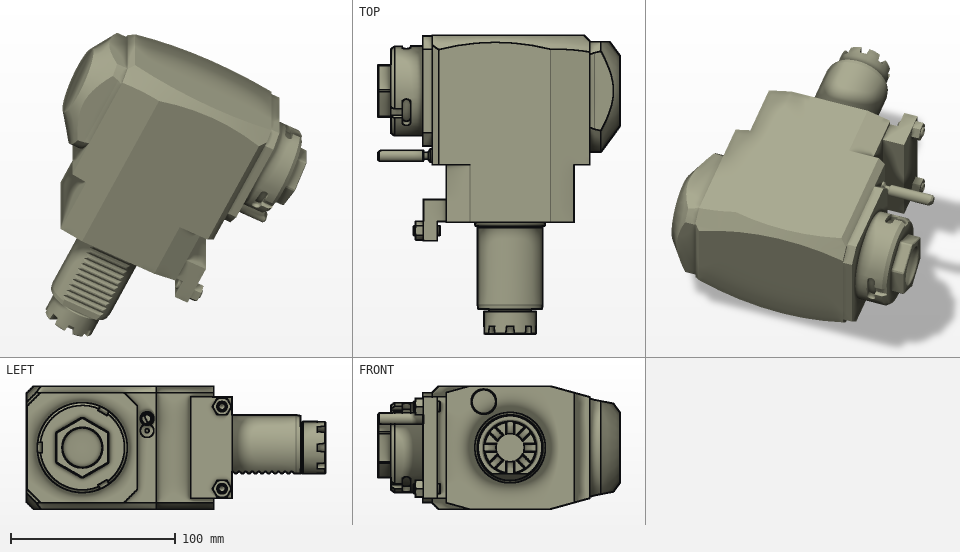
import cadquery as cq
import math


HALF_HEIGHT = 37.5
BACK_Y = 114.0
STEP_Y = 35.0
HEAD_LEFT_X = -47.5
HEAD_RIGHT_X = 48.5
NECK_HALF_WIDTH = 39.0
LEFT_CHAMFER = 4.0
TAPER_START_X = 24.5
TAPER_SLOPE = math.tan(math.radians(15.5))
BACK_CORNER_CHAMFER = 3.5
CROWN_CHAMFER = 4.4
CROWN_RADIUS = 190.0
CROWN_CENTER_X = -9.0
RECESS_X = -16.0
RECESS_Z = 28.0
RECESS_RADIUS = 7.7
RECESS_FLOOR_RADIUS = 7.2
RECESS_DEPTH = 0.5

DRIVE_Y = 80.0
PLATE_SIZE = 67.0
PLATE_CHAMFER = 8.1
PLATE_LEFT_X = -53.2
COLLAR_RADIUS = 27.4
COLLAR_LEFT_X = -72.6
COLLAR_CHAMFER_LENGTH = 2.3
COLLAR_CHAMFER_DEPTH = 1.7
COLLAR_SLOT_COUNT = 3
COLLAR_SLOT_X = -63.1
COLLAR_SLOT_WIDTH = 5.0
COLLAR_SLOT_HALF_ANGLE = 14.5
COLLAR_SLOT_DEPTH = 3.6
COLLAR_NOTCH_WIDTH = 6.3
COLLAR_NOTCH_FLOOR = 24.4
HEX_LEFT_X = -80.5
HEX_ACROSS_FLATS = 32.2
HEX_CORNER_RADIUS = 18.25
HEX_CHAMFER = 0.5
HEX_BORE_RADIUS = 12.0
HEX_BORE_DEPTH = 6.0
HEX_BORE_CHAMFER = 0.4

PIN_Y = 40.6
PIN_Z = 17.7
PIN_RADIUS = 3.4
PIN_LEFT_X = HEX_LEFT_X
PIN_RIGHT_X = -52.4
PIN_CHAMFER = 1.0
PIN_END_CHAMFER = 0.7
PIN_BEVEL_OFFSET = 0.8
PIN_BEVEL_ANGLE = 45.0
PIN_BEVEL_TURN = -25.0
PIN_NECK_RADIUS = 2.2
PIN_FLARE_LEFT_X = -49.8
PIN_FLARE_RADIUS = 4.1
PLUG_Z = 10.3
PLUG_RADIUS = 4.1
PLUG_RECESS = 0.3
PLUG_HOLE_RADIUS = 1.2
PLUG_HOLE_DEPTH = 2.0

CAP_RADIUS = 37.3
CAP_CONE_START_X = 55.3
CAP_RIGHT_X = 67.0
CAP_END_RADIUS = 21.3
CAP_BACK_Y = 110.0
CAP_BEND_X = 51.2
CAP_BASE_HALF_HEIGHT = 30.0
CAP_BEND_HALF_HEIGHT = 29.2
CAP_END_HALF_HEIGHT = 26.1

BRACKET_LEFT_X = -52.7
BRACKET_LEG_RIGHT_X = -44.2
BRACKET_BACK_Y = 14.0
BRACKET_FOOT_FRONT_Y = 0.5
BRACKET_FRONT_Y = -11.2
BRACKET_HALF_HEIGHT = 30.9
SCREW_Y = -5.0
SCREW_Z = 25.0
SCREW_RADIUS = 3.1
SCREW_LEFT_X = -58.8
SCREW_RIGHT_X = -42.4
SCREW_CHAMFER = 0.6
SCREW_SOCKET_RADIUS = 2.0
SCREW_SOCKET_DEPTH = 2.0
NUT_LEFT_X = -57.7
NUT_ACROSS_FLATS = 10.1
NUT_CHAMFER = 0.5

SEAL_RADIUS = 21.5
SEAL_WIDTH = 2.3
SHANK_RADIUS = 20.0
SHANK_END_Y = -52.8
SHANK_CHAMFER_START_Y = -50.0
SHANK_END_RADIUS = 19.4
SHANK_RELIEF_RADIUS = 19.4
SHANK_RELIEF_END_Y = -3.3
RACK_FLAT_Z = -15.8
RACK_START_Y = -8.0
TOOTH_PITCH = 4.0
GAP_DEPTH = 1.4
GAP_HALF_WIDTH = 1.6
FIRST_GAP_Y = -11.4
GAP_COUNT = 10

NECK_RADIUS = 13.0
CLAMP_NUT_RADIUS = 16.0
CLAMP_NUT_START_Y = -53.9
CLAMP_NUT_END_Y = -68.0
CLAMP_NUT_CHAMFER = 0.5
CLAMP_SLOT_COUNT = 8
CLAMP_SLOT_MOUTH_WIDTH = 5.4
CLAMP_SLOT_FLOOR_WIDTH = 4.2
CLAMP_SLOT_DEPTH = 4.9
CLAMP_SLOT_INNER_RADIUS = 8.6

OVERLAP = 1.0


def box_between(x_range, y_range, z_range):
    size = [high - low for low, high in (x_range, y_range, z_range)]
    corner = (x_range[0], y_range[0], z_range[0])
    return cq.Workplane("XY").box(*size, centered=False).translate(corner)


def plane_facing_left(x, y, z):
    """Plane whose normal is -X, local x is +Y and local y is -Z."""
    return cq.Workplane(cq.Plane(origin=(x, y, z), xDir=(0, 1, 0), normal=(-1, 0, 0)))


def cylinder_along_x(left_x, right_x, y, z, radius):
    return plane_facing_left(right_x, y, z).circle(radius).extrude(right_x - left_x)


def prism_along_y(points, front_y, back_y):
    """Extrude an (X, Z) outline between two Y values."""
    return cq.Workplane("XZ", origin=(0, back_y, 0)).polyline(points).close().extrude(back_y - front_y)


def turned_about_x(profile, y, z):
    """Revolve (x, radius) points about the line along X through (y, z)."""
    turned = cq.Workplane("XY").polyline(profile).close().revolve(360, (0, 0, 0), (1, 0, 0))
    return turned.translate((0, y, z))


def taper_height(x):
    return HALF_HEIGHT - (abs(x) - TAPER_START_X) * TAPER_SLOPE


def make_head():
    left_height = HALF_HEIGHT - LEFT_CHAMFER
    right_height = taper_height(HEAD_RIGHT_X)
    outline = [
        (HEAD_LEFT_X, -left_height),
        (HEAD_LEFT_X + LEFT_CHAMFER, -HALF_HEIGHT),
        (TAPER_START_X, -HALF_HEIGHT),
        (HEAD_RIGHT_X, -right_height),
        (HEAD_RIGHT_X, right_height),
        (TAPER_START_X, HALF_HEIGHT),
        (HEAD_LEFT_X + LEFT_CHAMFER, HALF_HEIGHT),
        (HEAD_LEFT_X, left_height),
    ]
    head = prism_along_y(outline, STEP_Y, BACK_Y)
    back_corner = cq.selectors.NearestToPointSelector((HEAD_RIGHT_X, BACK_Y, 0))
    head = head.edges(back_corner).chamfer(BACK_CORNER_CHAMFER)
    for side in (1, -1):
        head = head.intersect(make_crown(side))
    return head


def make_crown(side):
    """Large cylinder whose surface forms the bowed chamfer on the upper (1) or lower (-1) back edge."""
    apex_y = BACK_Y - CROWN_CHAMFER
    center_offset = CROWN_RADIUS * math.sqrt(0.5)
    center = (CROWN_CENTER_X, apex_y - center_offset, side * (HALF_HEIGHT - center_offset))
    plane = cq.Plane(origin=center, xDir=(1, 0, 0), normal=(0, 1, -side))
    return cq.Workplane(plane).circle(CROWN_RADIUS).extrude(CROWN_RADIUS, both=True)


def make_neck():
    side_height = taper_height(NECK_HALF_WIDTH)
    outline = [
        (-NECK_HALF_WIDTH, -side_height),
        (-TAPER_START_X, -HALF_HEIGHT),
        (TAPER_START_X, -HALF_HEIGHT),
        (NECK_HALF_WIDTH, -side_height),
        (NECK_HALF_WIDTH, side_height),
        (TAPER_START_X, HALF_HEIGHT),
        (-TAPER_START_X, HALF_HEIGHT),
        (-NECK_HALF_WIDTH, side_height),
    ]
    neck = prism_along_y(outline, 0, STEP_Y)
    recess_floor = cq.Workplane("XZ", origin=(RECESS_X, RECESS_DEPTH, RECESS_Z)).circle(RECESS_FLOOR_RADIUS)
    recess = recess_floor.workplane(offset=RECESS_DEPTH).circle(RECESS_RADIUS).loft()
    return neck.cut(recess)


def make_plate():
    thickness = HEAD_LEFT_X - PLATE_LEFT_X
    plate = plane_facing_left(HEAD_LEFT_X, DRIVE_Y, 0).rect(PLATE_SIZE, PLATE_SIZE).extrude(thickness)
    return plate.edges("|X").chamfer(PLATE_CHAMFER)


def make_collar_slot():
    """Curved slot with rounded ends on the +Y side of the collar, opened to the left by a notch."""
    floor_radius = COLLAR_RADIUS - COLLAR_SLOT_DEPTH
    reach = COLLAR_RADIUS + OVERLAP
    right_x = COLLAR_SLOT_X + COLLAR_SLOT_WIDTH / 2
    sweep = math.radians(COLLAR_SLOT_HALF_ANGLE)
    wedge_y = 2 * reach * math.cos(sweep)
    wedge_z = 2 * reach * math.sin(sweep)
    wedge = plane_facing_left(right_x, 0, 0).polyline([(0, 0), (wedge_y, -wedge_z), (wedge_y, wedge_z)]).close()
    cutter = wedge.extrude(COLLAR_SLOT_WIDTH)
    for side in (1, -1):
        end = cq.Workplane("XZ", origin=(COLLAR_SLOT_X, 0, 0)).circle(COLLAR_SLOT_WIDTH / 2).extrude(-reach)
        cutter = cutter.union(end.rotate((0, 0, 0), (1, 0, 0), side * COLLAR_SLOT_HALF_ANGLE))
    ring = plane_facing_left(right_x, 0, 0).circle(reach).circle(floor_radius).extrude(COLLAR_SLOT_WIDTH)
    half_notch = COLLAR_NOTCH_WIDTH / 2
    notch = box_between(
        (COLLAR_LEFT_X, COLLAR_SLOT_X),
        (COLLAR_NOTCH_FLOOR, reach),
        (-half_notch, half_notch),
    )
    return cutter.intersect(ring).union(notch)


def make_collar():
    chamfer_x = COLLAR_LEFT_X + COLLAR_CHAMFER_LENGTH
    profile = [
        (COLLAR_LEFT_X, 0),
        (COLLAR_LEFT_X, COLLAR_RADIUS - COLLAR_CHAMFER_DEPTH),
        (chamfer_x, COLLAR_RADIUS),
        (PLATE_LEFT_X, COLLAR_RADIUS),
        (PLATE_LEFT_X, 0),
    ]
    collar = turned_about_x(profile, 0, 0)
    slot = make_collar_slot()
    for index in range(COLLAR_SLOT_COUNT):
        collar = collar.cut(slot.rotate((0, 0, 0), (1, 0, 0), index * 360 / COLLAR_SLOT_COUNT))
    return collar.translate((0, DRIVE_Y, 0))


def make_drive_hex():
    corner_diameter = HEX_ACROSS_FLATS / math.cos(math.pi / 6)
    length = COLLAR_LEFT_X - HEX_LEFT_X
    base = plane_facing_left(COLLAR_LEFT_X, DRIVE_Y, 0)
    hexagon = base.transformed(rotate=(0, 0, 30)).polygon(6, corner_diameter).extrude(length)
    corner_limit = cylinder_along_x(HEX_LEFT_X, COLLAR_LEFT_X, DRIVE_Y, 0, HEX_CORNER_RADIUS)
    hexagon = hexagon.faces("<X").chamfer(HEX_CHAMFER).intersect(corner_limit)
    bore_profile = [
        (HEX_LEFT_X, 0),
        (HEX_LEFT_X, HEX_BORE_RADIUS + HEX_BORE_CHAMFER),
        (HEX_LEFT_X + HEX_BORE_CHAMFER, HEX_BORE_RADIUS),
        (HEX_LEFT_X + HEX_BORE_DEPTH, HEX_BORE_RADIUS),
        (HEX_LEFT_X + HEX_BORE_DEPTH, 0),
    ]
    return hexagon.cut(turned_about_x(bore_profile, DRIVE_Y, 0))


def make_pin():
    profile = [
        (PIN_LEFT_X, 0),
        (PIN_LEFT_X, PIN_RADIUS - PIN_CHAMFER),
        (PIN_LEFT_X + PIN_CHAMFER, PIN_RADIUS),
        (PIN_RIGHT_X - PIN_END_CHAMFER, PIN_RADIUS),
        (PIN_RIGHT_X, PIN_RADIUS - PIN_END_CHAMFER),
        (PIN_RIGHT_X, PIN_NECK_RADIUS),
        (PIN_FLARE_LEFT_X, PIN_NECK_RADIUS),
        (HEAD_LEFT_X - OVERLAP, PIN_FLARE_RADIUS),
        (HEAD_LEFT_X, PIN_FLARE_RADIUS),
        (HEAD_LEFT_X, 0),
    ]
    bevel_height = PIN_RADIUS - PIN_BEVEL_OFFSET
    bevel_length = bevel_height * math.tan(math.radians(PIN_BEVEL_ANGLE))
    bevel_outline = [
        (PIN_LEFT_X, PIN_BEVEL_OFFSET),
        (PIN_LEFT_X + bevel_length, PIN_RADIUS),
        (PIN_LEFT_X, PIN_RADIUS),
    ]
    bevel = cq.Workplane("XY").polyline(bevel_outline).close().extrude(PIN_RADIUS, both=True)
    bevel = bevel.rotate((0, 0, 0), (1, 0, 0), PIN_BEVEL_TURN).translate((0, PIN_Y, PIN_Z))
    return turned_about_x(profile, PIN_Y, PIN_Z).cut(bevel)


def make_plug_recess():
    recess = cylinder_along_x(HEAD_LEFT_X, HEAD_LEFT_X + PLUG_RECESS, PIN_Y, PLUG_Z, PLUG_RADIUS)
    hole = cylinder_along_x(HEAD_LEFT_X, HEAD_LEFT_X + PLUG_HOLE_DEPTH, PIN_Y, PLUG_Z, PLUG_HOLE_RADIUS)
    return recess.union(hole)


def make_cap():
    base_x = HEAD_RIGHT_X - OVERLAP
    profile = [
        (base_x, 0),
        (base_x, CAP_RADIUS),
        (CAP_CONE_START_X, CAP_RADIUS),
        (CAP_RIGHT_X, CAP_END_RADIUS),
        (CAP_RIGHT_X, 0),
    ]
    envelope = [
        (base_x, -CAP_BASE_HALF_HEIGHT),
        (HEAD_RIGHT_X, -CAP_BASE_HALF_HEIGHT),
        (CAP_BEND_X, -CAP_BEND_HALF_HEIGHT),
        (CAP_RIGHT_X, -CAP_END_HALF_HEIGHT),
        (CAP_RIGHT_X, CAP_END_HALF_HEIGHT),
        (CAP_BEND_X, CAP_BEND_HALF_HEIGHT),
        (HEAD_RIGHT_X, CAP_BASE_HALF_HEIGHT),
        (base_x, CAP_BASE_HALF_HEIGHT),
    ]
    return turned_about_x(profile, DRIVE_Y, 0).intersect(prism_along_y(envelope, STEP_Y, CAP_BACK_Y))


def make_bracket():
    z_range = (-BRACKET_HALF_HEIGHT, BRACKET_HALF_HEIGHT)
    foot = box_between((BRACKET_LEFT_X, -NECK_HALF_WIDTH), (BRACKET_FOOT_FRONT_Y, BRACKET_BACK_Y), z_range)
    leg = box_between((BRACKET_LEFT_X, BRACKET_LEG_RIGHT_X), (BRACKET_FRONT_Y, BRACKET_BACK_Y), z_range)
    return foot.union(leg)


def make_screw(z):
    screw = cylinder_along_x(SCREW_LEFT_X, SCREW_RIGHT_X, SCREW_Y, z, SCREW_RADIUS)
    screw = screw.edges().chamfer(SCREW_CHAMFER)
    corner_diameter = NUT_ACROSS_FLATS / math.cos(math.pi / 6)
    nut_base = plane_facing_left(BRACKET_LEFT_X, SCREW_Y, z)
    nut = nut_base.polygon(6, corner_diameter).extrude(BRACKET_LEFT_X - NUT_LEFT_X)
    nut_limit = cylinder_along_x(NUT_LEFT_X, BRACKET_LEFT_X, SCREW_Y, z, corner_diameter / 2)
    nut = nut.intersect(nut_limit.faces("<X").chamfer(NUT_CHAMFER))
    socket_profile = [
        (SCREW_LEFT_X, 0),
        (SCREW_LEFT_X, SCREW_SOCKET_RADIUS),
        (SCREW_LEFT_X + SCREW_SOCKET_DEPTH, 0),
    ]
    socket = turned_about_x(socket_profile, SCREW_Y, z)
    return screw.union(nut).cut(socket)


def make_shank():
    profile = (
        cq.Workplane("XY")
        .moveTo(0, OVERLAP)
        .lineTo(SEAL_RADIUS - SEAL_WIDTH / 2, OVERLAP)
        .lineTo(SEAL_RADIUS - SEAL_WIDTH / 2, 0)
        .threePointArc((SEAL_RADIUS, -SEAL_WIDTH / 2), (SEAL_RADIUS - SEAL_WIDTH / 2, -SEAL_WIDTH))
        .lineTo(SHANK_RELIEF_RADIUS, -SEAL_WIDTH)
        .lineTo(SHANK_RADIUS, SHANK_RELIEF_END_Y)
        .lineTo(SHANK_RADIUS, SHANK_CHAMFER_START_Y)
        .lineTo(SHANK_END_RADIUS, SHANK_END_Y)
        .lineTo(NECK_RADIUS, SHANK_END_Y)
        .lineTo(NECK_RADIUS, CLAMP_NUT_START_Y)
        .lineTo(0, CLAMP_NUT_START_Y)
        .close()
    )
    return profile.revolve(360, (0, 0, 0), (0, 1, 0)).cut(make_rack())


def make_rack():
    """Material removed below the shank: a flat with a 45 degree run-out and V gaps between the teeth."""
    flat_depth = SHANK_RADIUS + RACK_FLAT_Z
    bottom_z = -SHANK_RADIUS
    rack = (
        cq.Workplane("YZ", origin=(-SHANK_RADIUS, 0, 0))
        .polyline([
            (SHANK_END_Y, bottom_z),
            (SHANK_END_Y, RACK_FLAT_Z),
            (RACK_START_Y, RACK_FLAT_Z),
            (RACK_START_Y + flat_depth, bottom_z),
        ])
        .close()
        .extrude(2 * SHANK_RADIUS)
    )
    for index in range(GAP_COUNT):
        gap_y = FIRST_GAP_Y - index * TOOTH_PITCH
        gap = (
            cq.Workplane("YZ", origin=(-SHANK_RADIUS, 0, 0))
            .polyline([
                (gap_y - GAP_HALF_WIDTH, RACK_FLAT_Z),
                (gap_y, RACK_FLAT_Z + GAP_DEPTH),
                (gap_y + GAP_HALF_WIDTH, RACK_FLAT_Z),
            ])
            .close()
            .extrude(2 * SHANK_RADIUS)
        )
        rack = rack.union(gap)
    return rack


def make_clamp_nut():
    length = CLAMP_NUT_START_Y - CLAMP_NUT_END_Y
    nut = cq.Workplane("XZ", origin=(0, CLAMP_NUT_START_Y, 0)).circle(CLAMP_NUT_RADIUS).extrude(length)
    nut = nut.edges().chamfer(CLAMP_NUT_CHAMFER)
    floor_y = CLAMP_NUT_END_Y + CLAMP_SLOT_DEPTH
    slot_outline = [
        (CLAMP_NUT_END_Y, -CLAMP_SLOT_MOUTH_WIDTH / 2),
        (floor_y, -CLAMP_SLOT_FLOOR_WIDTH / 2),
        (floor_y, CLAMP_SLOT_FLOOR_WIDTH / 2),
        (CLAMP_NUT_END_Y, CLAMP_SLOT_MOUTH_WIDTH / 2),
    ]
    slot = cq.Workplane("YZ").polyline(slot_outline).close().extrude(CLAMP_NUT_RADIUS + OVERLAP)
    core = cq.Workplane("XZ", origin=(0, CLAMP_NUT_START_Y, 0)).circle(CLAMP_SLOT_INNER_RADIUS).extrude(length)
    slot = slot.cut(core)
    for index in range(CLAMP_SLOT_COUNT):
        nut = nut.cut(slot.rotate((0, 0, 0), (0, 1, 0), index * 360 / CLAMP_SLOT_COUNT))
    return nut


result = make_head().union(make_neck()).union(make_plate()).union(make_collar()).union(make_drive_hex())
result = result.cut(make_plug_recess()).union(make_pin()).union(make_cap()).union(make_bracket())
for screw_z in (SCREW_Z, -SCREW_Z):
    result = result.union(make_screw(screw_z))
result = result.union(make_shank()).union(make_clamp_nut())